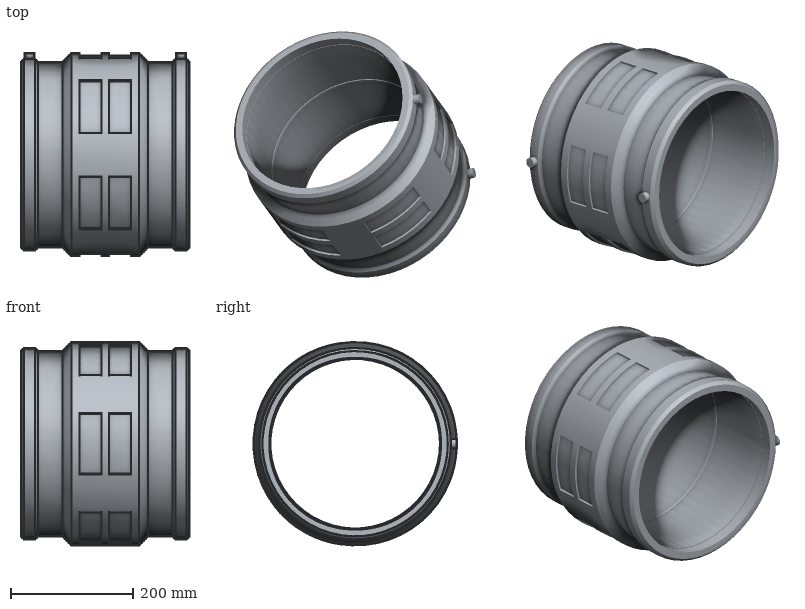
import cadquery as cq
LENGTH = 275.0
BODY_DIAMETER = 332.0
NECK_DIAMETER = 302.72
BORE_DIAMETER = 280.0

END_X = LENGTH / 2
BODY_RADIUS = BODY_DIAMETER / 2
NECK_RADIUS = NECK_DIAMETER / 2
BORE_RADIUS = BORE_DIAMETER / 2

BEAD_WIDTH = 27.5
BEAD_CHAMFER = 5.0
BEAD_RADIUS = NECK_RADIUS + BEAD_CHAMFER

BODY_HALF_LENGTH = 55.0
CONE_LENGTH = BODY_RADIUS - NECK_RADIUS

RIB_DIAMETER = 277.2
RIB_RADIUS = RIB_DIAMETER / 2
RIB_WIDTH = 5.0

GROOVE_WIDTH = 3.0
GROOVE_DEPTH = 0.7
GROOVE_INSET = 19.0

POCKET_DEPTH = 3.3
POCKET_WIDTH = 35.4
POCKET_GAP = 13.0
POCKET_ANGLE = 35.0
POCKET_COUNT = 6

POST_DIAMETER = 16.0

OVERLAP = 2.0


def revolve_about_x(outline, angle=360.0):
    """Revolve a closed XY outline about the X axis."""
    return cq.Workplane("XY").polyline(outline).close().revolve(angle, (0, 0, 0), (1, 0, 0))


def make_ring(center_x, width, inner_radius, outer_radius):
    """A plain ring around the X axis."""
    return (
        cq.Workplane("YZ", origin=(center_x - width / 2, 0, 0))
        .circle(outer_radius)
        .circle(inner_radius)
        .extrude(width)
    )


def make_sleeve():
    """The hollow sleeve: two beaded ends, two necks and the raised body."""
    right_half = [
        (END_X, NECK_RADIUS),
        (END_X - BEAD_CHAMFER, BEAD_RADIUS),
        (END_X - BEAD_WIDTH + BEAD_CHAMFER, BEAD_RADIUS),
        (END_X - BEAD_WIDTH, NECK_RADIUS),
        (BODY_HALF_LENGTH + CONE_LENGTH, NECK_RADIUS),
        (BODY_HALF_LENGTH, BODY_RADIUS),
    ]
    left_half = [(-x, radius) for x, radius in reversed(right_half)]
    bore_line = [(-END_X, BORE_RADIUS), (END_X, BORE_RADIUS)]
    return revolve_about_x(right_half + left_half + bore_line)


def make_pocket_cutter(center_x, center_angle):
    """A curved block that removes one pocket, centred on an angle from +Y."""
    left = center_x - POCKET_WIDTH / 2
    right = center_x + POCKET_WIDTH / 2
    floor = BODY_RADIUS - POCKET_DEPTH
    top = BODY_RADIUS + OVERLAP
    block = revolve_about_x([(left, floor), (right, floor), (right, top), (left, top)], POCKET_ANGLE)
    return block.rotate((0, 0, 0), (1, 0, 0), center_angle - POCKET_ANGLE / 2)


def cut_pockets(body):
    offset = (POCKET_GAP + POCKET_WIDTH) / 2
    for index in range(POCKET_COUNT):
        for center_x in (-offset, offset):
            body = body.cut(make_pocket_cutter(center_x, index * 360 / POCKET_COUNT))
    return body


def cut_grooves(body):
    for side in (-1, 1):
        center_x = side * (END_X - GROOVE_INSET)
        groove = make_ring(center_x, GROOVE_WIDTH, BORE_RADIUS - OVERLAP, BORE_RADIUS + GROOVE_DEPTH)
        body = body.cut(groove)
    return body


def add_posts(body):
    """Posts that run through the wall and end flush with the bore."""
    bore = cq.Workplane("YZ", origin=(-END_X, 0, 0)).circle(BORE_RADIUS).extrude(LENGTH)
    root_y = BORE_RADIUS - OVERLAP
    for side in (-1, 1):
        center_x = side * (END_X - BEAD_WIDTH / 2)
        post = (
            cq.Workplane("XZ", origin=(center_x, BODY_RADIUS, 0))
            .circle(POST_DIAMETER / 2)
            .extrude(BODY_RADIUS - root_y)
            .cut(bore)
        )
        body = body.union(post)
    return body


def add_rib(body):
    return body.union(make_ring(0, RIB_WIDTH, RIB_RADIUS, NECK_RADIUS))


result = add_rib(add_posts(cut_grooves(cut_pockets(make_sleeve()))))